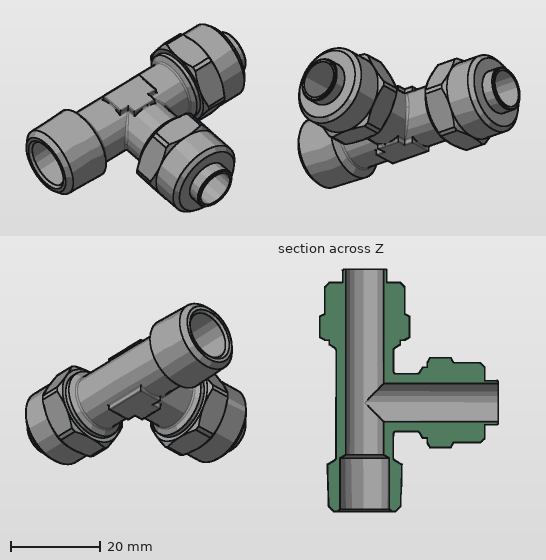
import cadquery as cq
import math

compression_reach = 30.0
threaded_reach = 24.5

tube_radius = 6.5
bore_radius = 4.25
crotch_fillet = 0.5
shoulder_fillet = 0.5
shoulder_angle = 60.0

collar_radius = 8.0
collar_start = 13.0
hex_start = 14.0
hex_end = 20.0
hex_across_flats = 18.0
hex_corner_radius = 10.1
hex_bevel_angle = 30.0
nut_radius = hex_across_flats / 2
nut_end = 27.0
nut_chamfer = 1.0
spigot_radius = 5.0
spigot_chamfer = 0.25

thread_start = 13.9
thread_large_radius = 8.42
thread_taper = 1 / 16
thread_chamfer = 1.2
threaded_bore_radius = 5.5
threaded_bore_depth = 12.0
bore_chamfer = 0.6
drill_point_angle = 118.0

pad_half_width = 3.0
pad_half_length = 5.2
pad_height = 7.0
pad_round = 0.2


def revolve_about_y(points):
    """Solid of revolution about Y from (radius, station) points."""
    return cq.Workplane("XY").polyline(points).close().revolve(360, (0, 0, 0), (0, 1, 0))


def cone_length(radius_step, angle):
    """Axial length of a cone that opens by radius_step at angle from its axis."""
    return radius_step / math.tan(math.radians(angle))


def to_branch(solid):
    """Turn a solid built along +Y to the branch direction, +X."""
    return solid.rotate((0, 0, 0), (0, 0, 1), -90)


def to_threaded_side(solid):
    """Turn a solid built along +Y to the threaded side, -Y."""
    return solid.rotate((0, 0, 0), (0, 0, 1), 180)


def shoulder(end_radius, end_station):
    """Cone from the tube up to end_radius at end_station, with a hollow round at its foot."""
    foot_station = end_station - cone_length(end_radius - tube_radius, shoulder_angle)
    stub = revolve_about_y([
        (0, 0),
        (tube_radius, 0),
        (tube_radius, foot_station),
        (end_radius, end_station),
        (0, end_station),
    ])
    foot_edge = cq.NearestToPointSelector((-tube_radius, foot_station, 0))
    return stub.edges("%CIRCLE").edges(foot_edge).fillet(shoulder_fillet)


def hexagon():
    """Hexagon with flats toward Z, its corners turned round and its ends bevelled."""
    corner_diameter = hex_across_flats / math.cos(math.pi / 6)
    prism = (
        cq.Workplane("XZ", origin=(0, hex_start, 0))
        .polygon(6, corner_diameter)
        .extrude(hex_start - hex_end)
    )
    bevel = (hex_corner_radius - nut_radius) * math.tan(math.radians(hex_bevel_angle))
    envelope = revolve_about_y([
        (0, hex_start),
        (nut_radius, hex_start),
        (hex_corner_radius, hex_start + bevel),
        (hex_corner_radius, hex_end - bevel),
        (nut_radius, hex_end),
        (0, hex_end),
    ])
    return prism.intersect(envelope)


def compression_end():
    """Tube, shoulder, collar, hexagon, nut and spigot along +Y."""
    turned = revolve_about_y([
        (0, collar_start),
        (collar_radius, collar_start),
        (collar_radius, hex_start),
        (nut_radius, hex_start),
        (nut_radius, nut_end - nut_chamfer),
        (nut_radius - nut_chamfer, nut_end),
        (spigot_radius, nut_end),
        (spigot_radius, compression_reach - spigot_chamfer),
        (spigot_radius - spigot_chamfer, compression_reach),
        (0, compression_reach),
    ])
    return shoulder(collar_radius, collar_start).union(turned).union(hexagon())


def threaded_end():
    """Tube, shoulder and taper thread blank along +Y."""
    chamfer_start = threaded_reach - thread_chamfer
    small_radius = thread_large_radius - (chamfer_start - thread_start) * thread_taper / 2
    turned = revolve_about_y([
        (0, thread_start),
        (thread_large_radius, thread_start),
        (small_radius, chamfer_start),
        (small_radius - thread_chamfer, threaded_reach),
        (0, threaded_reach),
    ])
    return shoulder(thread_large_radius, thread_start).union(turned)


def pads():
    """One T-shaped block through the body whose two ends are the pads."""
    bar = cq.Workplane("XY").box(2 * pad_half_width, 2 * pad_half_length, 2 * pad_height)
    arm = cq.Workplane("XY").box(
        pad_half_length, 2 * pad_half_width, 2 * pad_height, centered=(False, True, True)
    )
    return bar.union(arm)


def centred_box(half_length, low, high):
    """Selector for whole edges within half_length of the Z axis and between two heights."""
    return cq.selectors.BoxSelector(
        (-half_length, -half_length, low), (half_length, half_length, high), boundingbox=True
    )


def round_pad_edges(body, low, high):
    """Round the pad edges lying between two heights, on the top pad and on the bottom pad."""
    reach = pad_half_length + pad_round
    body = body.edges(centred_box(reach, low, high)).fillet(pad_round)
    return body.edges(centred_box(reach, -high, -low)).fillet(pad_round)


def outer_body():
    """Three ends joined at the crossing with the pads; crotches and pad edges are rounded."""
    body = (
        compression_end()
        .union(to_threaded_side(threaded_end()))
        .union(to_branch(compression_end()))
        .union(pads())
    )
    crossing = centred_box(hex_start, -pad_height, pad_height)
    body = body.edges("%ELLIPSE").edges(crossing).fillet(crotch_fillet)
    foot_low = math.sqrt(tube_radius**2 - pad_half_width**2) - pad_round
    rim_low = (tube_radius + pad_height) / 2
    body = round_pad_edges(body, foot_low, rim_low)
    return round_pad_edges(body, rim_low, pad_height + pad_round)


def through_bore():
    """Bore along +Y from the origin out through a compression end."""
    return cq.Workplane("XZ").circle(bore_radius).extrude(-compression_reach)


def threaded_bore():
    """Bore along +Y through the threaded end: drilled wider with a conical bottom, chamfered mouth."""
    step = threaded_bore_radius - bore_radius
    drill_bottom = threaded_reach - threaded_bore_depth
    return revolve_about_y([
        (0, 0),
        (bore_radius, 0),
        (bore_radius, drill_bottom - cone_length(step, drill_point_angle / 2)),
        (threaded_bore_radius, drill_bottom),
        (threaded_bore_radius, threaded_reach - bore_chamfer),
        (threaded_bore_radius + bore_chamfer, threaded_reach),
        (0, threaded_reach),
    ])


result = (
    outer_body()
    .cut(through_bore())
    .cut(to_branch(through_bore()))
    .cut(to_threaded_side(threaded_bore()))
)